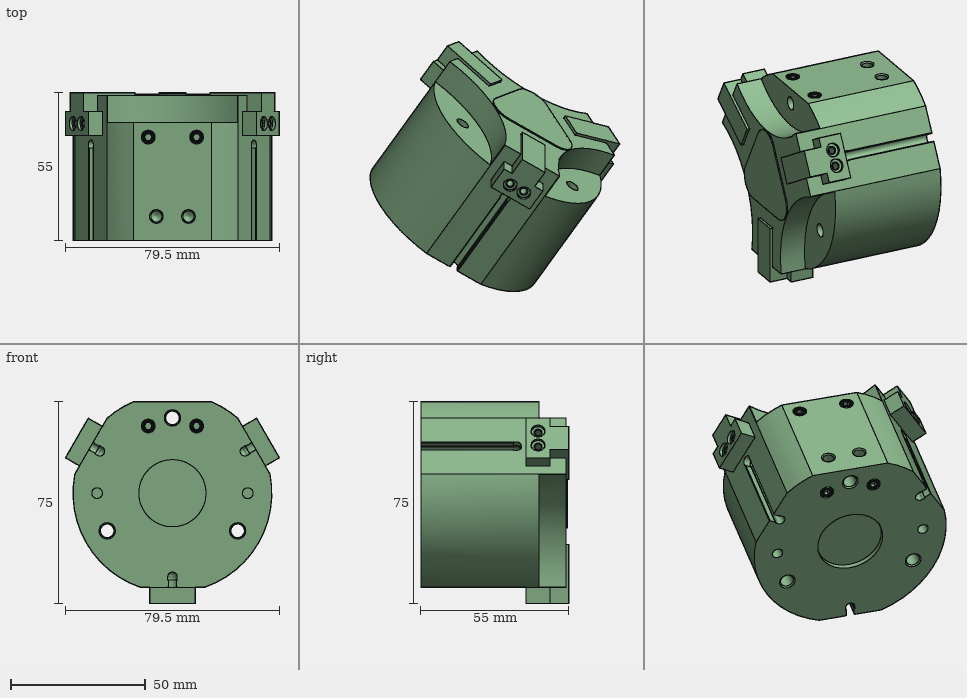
import cadquery as cq
import math


body_radius = 37.0
body_length = 54.0
jaw_flat_distance = 35.0
top_flat_distance = 34.0
scoop_length = 10.0
scoop_radius = 37.0
scoop_axis_distance = 56.0
recess_diameter = 25.0
recess_depth = 2.0
pad_flat_distance = 12.95
pad_corner_radius = 7.0
pad_height = 0.5

jaw_angles = (30, 150, 270)
jaw_outer_distance = 41.0
jaw_inner_distance = 19.0
jaw_width = 17.0
tongue_width = 10.0
jaw_bottom = 39.0
tongue_bottom = 48.0
jaw_top = 55.0
jaw_hole_spacing = 6.0
jaw_hole_diameter = 2.5
jaw_hole_mouth = 3.0
jaw_counterbore_diameter = 5.1
jaw_counterbore_depth = 1.2

groove_neck_width = 3.0
groove_mouth_width = 3.5
groove_width = 3.5
groove_entry_diameter = 3.7
groove_shoulder_depth = 2.8
groove_centre_depth = 3.9
groove_end = 35.5

bolt_circle_radius = 28.0
mount_hole_angles = (90, 210, 330)
mount_hole_diameter = 5.0
mount_hole_mouth = 6.05
dowel_angles = (0, 180)
dowel_diameter = 4.0
dowel_depth = 6.0

port_mouth = 5.1
open_port_diameter = 4.1
open_port_depth = 6.4
drill_tip_angle = 118
open_port_x = 6.0
open_port_y = 9.0
plug_x = 9.0
front_plug_z = 25.0
top_plug_y = 38.5

plug_diameter = 4.45
plug_face_diameter = 3.8
plug_length = 5.0
socket_across_flats = 2.5
socket_mouth = 3.0
socket_depth = 2.0

FRONT = cq.Vector(0, 1, 0)
DOWN = cq.Vector(0, 0, -1)


def cylinder(start, direction, diameter, length):
    return cq.Workplane(cq.Solid.makeCylinder(diameter / 2, length, start, direction))


def cone(start, direction, start_diameter, end_diameter, length):
    return cq.Workplane(cq.Solid.makeCone(start_diameter / 2, end_diameter / 2, length, start, direction))


def polar_point(radius, angle, y=0):
    a = math.radians(angle)
    return cq.Vector(radius * math.cos(a), y, radius * math.sin(a))


def turned_to(shape, angle):
    """Turn a shape built on the +X side to the given angle about Y, from +X towards +Z."""
    return shape.rotate((0, 0, 0), (0, 1, 0), -angle)


def radial_block(inner, outer, width, bottom, top):
    return cq.Workplane().box(outer - inner, top - bottom, width, centered=(False, False, True)).translate(
        (inner, bottom, 0)
    )


def scoop_cutter():
    """Hollow on the +X side, between two jaw flats."""
    start = cq.Vector(scoop_axis_distance, body_length - scoop_length, 0)
    return cylinder(start, FRONT, 2 * scoop_radius, scoop_length)


def groove_cutter():
    """Sensor groove on the +X side: a ball-ended tool plunged at a wider entry hole and run out at y = 0."""
    surface = jaw_flat_distance
    shoulder = surface - groove_shoulder_depth
    centre = surface - groove_centre_depth
    end_point = cq.Vector(centre, groove_end, 0)
    outwards = cq.Vector(1, 0, 0)
    half_neck = groove_neck_width / 2
    half_mouth = groove_mouth_width / 2
    chamfer_start = surface - (half_mouth - half_neck)
    neck_outline = [
        (shoulder, half_neck),
        (chamfer_start, half_neck),
        (surface, half_mouth),
        (surface, -half_mouth),
        (chamfer_start, -half_neck),
        (shoulder, -half_neck),
    ]
    neck = cq.Workplane("XZ").polyline(neck_outline).close().extrude(-groove_end)
    undercut = radial_block(centre, shoulder, groove_width, 0, groove_end)
    floor = cylinder(cq.Vector(centre, 0, 0), FRONT, groove_width, groove_end)
    entry = cylinder(cq.Vector(shoulder, groove_end, 0), outwards, groove_entry_diameter, groove_shoulder_depth)
    undercut_end = cylinder(end_point, outwards, groove_width, groove_centre_depth)
    ball = cq.Workplane().sphere(groove_width / 2).translate(end_point)
    return neck.union(undercut).union(floor).union(entry).union(undercut_end).union(ball)


def jaw_slot_cutter():
    return radial_block(jaw_inner_distance, body_radius, tongue_width, tongue_bottom, jaw_top)


def chamfered_bore(start, direction, mouth, diameter, depth):
    """Bore with a 45 degree chamfer that opens it to the mouth diameter."""
    chamfer = cone(start, direction, mouth, diameter, (mouth - diameter) / 2)
    return cylinder(start, direction, diameter, depth).union(chamfer)


def open_port_cutter(start, direction):
    bore = chamfered_bore(start, direction, port_mouth, open_port_diameter, open_port_depth)
    tip_length = open_port_diameter / 2 / math.tan(math.radians(drill_tip_angle / 2))
    tip = cone(start + direction * open_port_depth, direction, open_port_diameter, 0, tip_length)
    return bore.union(tip)


def make_pad():
    """Rounded triangle whose sides face the jaws and whose corners point at the hollows."""
    pad = cq.Workplane("XZ", origin=(0, body_length, 0)).polygon(3, 4 * pad_flat_distance).extrude(-pad_height)
    return turned_to(pad.edges("|Y").fillet(pad_corner_radius), 90)


plug_places = []
for side in (-1, 1):
    plug_places.append((cq.Vector(side * plug_x, 0, front_plug_z), FRONT))
    plug_places.append((cq.Vector(side * plug_x, top_plug_y, top_flat_distance), DOWN))


def make_housing():
    body = cylinder(cq.Vector(0, 0, 0), FRONT, 2 * body_radius, body_length)
    waste = 2 * body_radius
    body = body.cut(turned_to(radial_block(top_flat_distance, waste, waste, 0, body_length), 90))
    for angle in jaw_angles:
        body = body.cut(turned_to(radial_block(jaw_flat_distance, waste, waste, 0, body_length), angle))
        body = body.cut(turned_to(scoop_cutter(), angle + 60))
        body = body.cut(turned_to(jaw_slot_cutter(), angle))
        body = body.cut(turned_to(groove_cutter(), angle))

    body = body.union(make_pad())
    body = body.cut(cylinder(cq.Vector(0, 0, 0), FRONT, recess_diameter, recess_depth))

    for angle in mount_hole_angles:
        body = body.cut(
            chamfered_bore(
                polar_point(bolt_circle_radius, angle), FRONT, mount_hole_mouth, mount_hole_diameter, body_length
            )
        )
    for angle in dowel_angles:
        body = body.cut(cylinder(polar_point(bolt_circle_radius, angle), FRONT, dowel_diameter, dowel_depth))
    for side in (-1, 1):
        start = cq.Vector(side * open_port_x, open_port_y, top_flat_distance)
        body = body.cut(open_port_cutter(start, DOWN))
    for start, direction in plug_places:
        body = body.cut(chamfered_bore(start, direction, port_mouth, plug_diameter, plug_length))
    return body


def make_jaw(angle):
    foot = radial_block(jaw_flat_distance, jaw_outer_distance, jaw_width, jaw_bottom, tongue_bottom)
    tongue = radial_block(jaw_inner_distance, jaw_outer_distance, tongue_width, tongue_bottom, jaw_top)
    jaw = foot.union(tongue)
    inwards = cq.Vector(-1, 0, 0)
    for side in (-1, 1):
        start = cq.Vector(jaw_outer_distance, (jaw_bottom + tongue_bottom) / 2, side * jaw_hole_spacing / 2)
        seat = start + inwards * jaw_counterbore_depth
        hole_depth = seat.x - jaw_flat_distance
        jaw = jaw.cut(chamfered_bore(seat, inwards, jaw_hole_mouth, jaw_hole_diameter, hole_depth))
        jaw = jaw.cut(cylinder(start, inwards, jaw_counterbore_diameter, jaw_counterbore_depth))
    return turned_to(jaw, angle)


def make_plug(start, direction):
    rim_length = (plug_diameter - plug_face_diameter) / 2
    rim = cone(start, direction, plug_face_diameter, plug_diameter, rim_length)
    shank = cylinder(start + direction * rim_length, direction, plug_diameter, plug_length - rim_length)
    across_corners = socket_across_flats / math.cos(math.radians(30))
    socket_plane = cq.Plane(start, cq.Vector(1, 0, 0), direction)
    socket = cq.Workplane(socket_plane).polygon(6, across_corners).extrude(socket_depth)
    countersink_depth = (socket_mouth - socket_across_flats) / 2
    countersink = cone(start, direction, socket_mouth, socket_across_flats, countersink_depth)
    return rim.union(shank).cut(socket).cut(countersink)


housing = make_housing()
jaws = [make_jaw(angle) for angle in jaw_angles]
plugs = [make_plug(start, direction) for start, direction in plug_places]

result = cq.Compound.makeCompound(
    [housing.val(), *[jaw.val() for jaw in jaws], *[plug.val() for plug in plugs]]
)